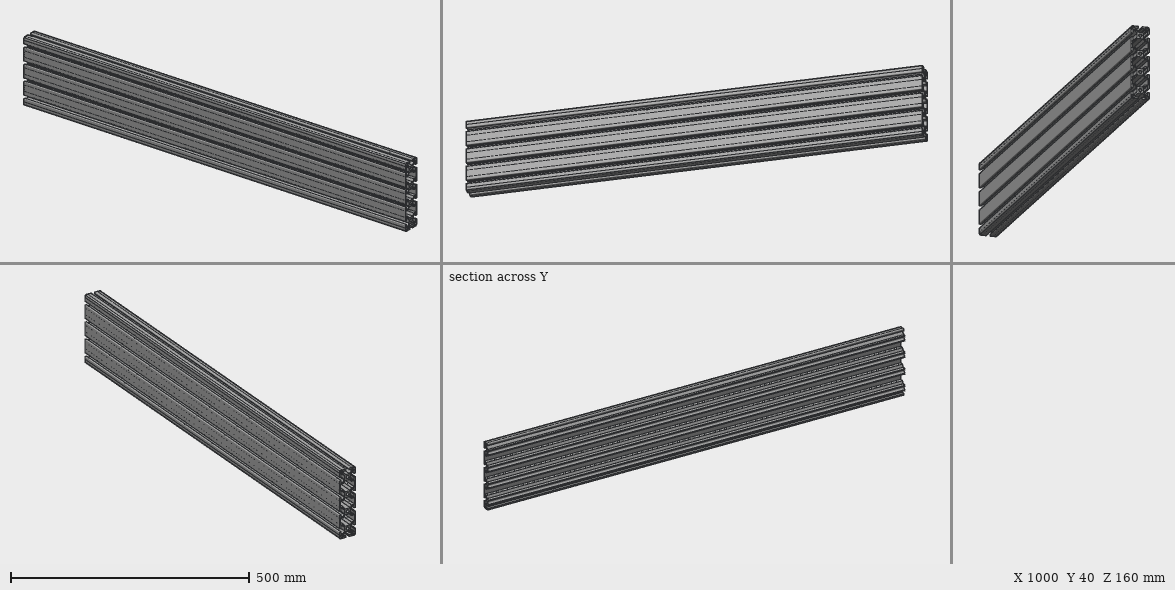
import cadquery as cq
import math

length = 1000.0
cell = 40.0
cell_count = 4
height = cell * cell_count
corner_radius = 4.0

mouth_half = 4.1
mouth_rounding = 1.2
undercut = 6.1
inner_half = mouth_half + undercut
lip_thickness = 4.2
shoulder_depth = 7.8
slot_depth = 13.0
floor_half = 4.3

bore_diameter = 6.8

chamber_wall = 2.5
chamber_side_half_height = 7.5
chamber_shoulder_half_width = 10.0
chamber_half_height = 13.0
chamber_flat_half_width = 6.5

hollow_size = 6.1
hollow_wall = 1.8


def spaced_along_z(count):
    """Z positions of count places, one cell apart and centred on the profile."""
    return [(i - (count - 1) / 2) * cell for i in range(count)]


def section():
    """Profile plane (local x is Y, local y is Z) at the -X end."""
    return cq.Workplane("YZ").workplane(offset=-length / 2)


def upright_slot():
    """T-slot opening upward at Z = 0, centred on Y = 0, with rounded mouth edges."""
    side = [
        (mouth_half, -lip_thickness),
        (inner_half, -lip_thickness),
        (inner_half, -shoulder_depth),
        (floor_half, -slot_depth),
    ]
    outer_half = mouth_half + mouth_rounding
    arc_half = outer_half - mouth_rounding * math.sin(math.pi / 4)
    arc_z = -mouth_rounding * (1 - math.cos(math.pi / 4))

    outline = section().moveTo(-outer_half, 0).lineTo(outer_half, 0)
    outline = outline.threePointArc((arc_half, arc_z), (mouth_half, -mouth_rounding))
    for y, z in side:
        outline = outline.lineTo(y, z)
    for y, z in reversed(side):
        outline = outline.lineTo(-y, z)
    outline = outline.lineTo(-mouth_half, -mouth_rounding)
    outline = outline.threePointArc((-arc_half, arc_z), (-outer_half, 0))
    return outline.close().extrude(length)


def turned_slot(angle, y, z):
    """T-slot turned about X by angle, with the middle of its mouth at (y, z)."""
    return upright_slot().rotate((0, 0, 0), (1, 0, 0), angle).translate((0, y, z))


def chambers():
    side_half_width = cell / 2 - chamber_wall
    quarter = [
        (side_half_width, chamber_side_half_height),
        (chamber_shoulder_half_width, chamber_side_half_height),
        (chamber_flat_half_width, chamber_half_height),
    ]
    upper = quarter + [(-y, z) for y, z in reversed(quarter)]
    outline = upper + [(-y, -z) for y, z in upper]
    chamber = section().polyline(outline).close().extrude(length)
    return [chamber.translate((0, 0, z)) for z in spaced_along_z(cell_count - 1)]


def corner_hollows():
    inset = hollow_wall + hollow_size / 2
    return (
        section()
        .rect(cell - 2 * inset, height - 2 * inset, forConstruction=True)
        .vertices()
        .rect(hollow_size, hollow_size)
        .extrude(length)
    )


def bores():
    centres = [(0, z) for z in spaced_along_z(cell_count)]
    return section().pushPoints(centres).circle(bore_diameter / 2).extrude(length)


profile = section().rect(cell, height).extrude(length).edges("|X").fillet(corner_radius)

profile = profile.cut(turned_slot(0, 0, height / 2))
profile = profile.cut(turned_slot(180, 0, -height / 2))
for cell_z in spaced_along_z(cell_count):
    profile = profile.cut(turned_slot(90, -cell / 2, cell_z))
    profile = profile.cut(turned_slot(-90, cell / 2, cell_z))

for chamber in chambers():
    profile = profile.cut(chamber)

profile = profile.cut(corner_hollows())
profile = profile.cut(bores())

result = profile